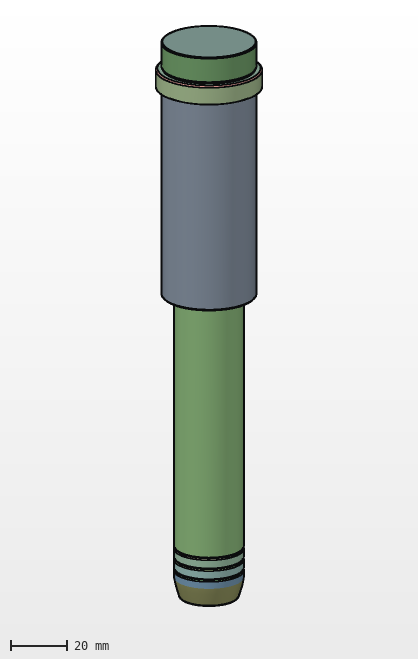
import cadquery as cq

total_length = 210.0
collar_top = 200.0
collar_bottom = 193.0
body_bottom = 114.0
pin_top = 113.0
nose_height = 7.4

collar_radius = 19.0
body_radius = 17.0
pin_radius = 12.5
neck_radius = 11.8
tip_radius = 10.7

collar_chamfer = 0.6
body_chamfer = 0.6
head_chamfer = 0.5
tip_chamfer = 0.5
relief_width = 0.8
relief_depth = 0.5

groove_count = 3
groove_pitch = 4.1
lowest_groove = 10.5
groove_width = 1.0
groove_depth = 0.5

nose_mid_radius = 11.8
nose_mid_height = nose_height / 2


def vee_groove(middle, width, outer_radius, depth):
    """Ring of triangular section to cut into a cylinder of the given radius."""
    section = cq.Workplane("XZ").polyline(
        [
            (outer_radius, middle - width / 2),
            (outer_radius, middle + width / 2),
            (outer_radius - depth, middle),
        ]
    )
    return section.close().revolve(360, (0, 0, 0), (0, 1, 0))


profile = (
    cq.Workplane("XZ")
    .moveTo(0, 0)
    .lineTo(tip_radius - tip_chamfer, 0)
    .lineTo(tip_radius, tip_chamfer)
    .threePointArc((nose_mid_radius, nose_mid_height), (pin_radius, nose_height))
    .lineTo(pin_radius, pin_top)
    .lineTo(neck_radius, body_bottom)
    .lineTo(body_radius - body_chamfer, body_bottom)
    .lineTo(body_radius, body_bottom + body_chamfer)
    .lineTo(body_radius, collar_bottom - relief_width)
    .lineTo(body_radius - relief_depth, collar_bottom - relief_width / 2)
    .lineTo(body_radius - relief_depth, collar_bottom)
    .lineTo(collar_radius, collar_bottom)
    .lineTo(collar_radius, collar_top - collar_chamfer)
    .lineTo(collar_radius - collar_chamfer, collar_top)
    .lineTo(body_radius - relief_depth, collar_top)
    .lineTo(body_radius - relief_depth, collar_top + relief_width / 2)
    .lineTo(body_radius, collar_top + relief_width)
    .lineTo(body_radius, total_length - head_chamfer)
    .lineTo(body_radius - head_chamfer, total_length)
    .lineTo(0, total_length)
    .close()
)
result = profile.revolve(360, (0, 0, 0), (0, 1, 0))

for index in range(groove_count):
    groove_middle = lowest_groove + index * groove_pitch
    result = result.cut(vee_groove(groove_middle, groove_width, pin_radius, groove_depth))